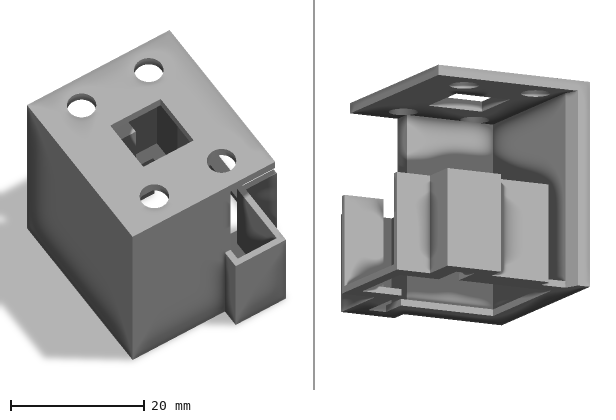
import cadquery as cq

overall_width = 35.0
overall_depth = 31.0
overall_height = 31.5

body_width = 29.05
plate_depth = 25.48
plate_thickness = 1.58
front_edge_thickness = 2.0
front_thickness = 3.0
front_bevel_width = 2.2
side_thickness = 3.0

band_height = 15.0
thin_wall = 1.0
box_front = 16.5
channel_left = -11.75
channel_right = 6.45
channel_right_wall = 0.88
opening_depth = 7.0

floor_thickness = 1.0
lip = 2.0

hole_diameter = 4.4
hole_spacing_x = 20.02
hole_spacing_y = 12.0
hole_front = 6.82
window_width = 9.1
window_depth = 9.0
window_front = 8.4

body_half = body_width / 2
overall_half = overall_width / 2
cavity_half = body_half - side_thickness
box_inner_front = box_front + thin_wall


def block(x_min, x_max, y_min, y_max, z_min, z_max):
    """Box given by its limits along each axis."""
    size = (x_max - x_min, y_max - y_min, z_max - z_min)
    return cq.Workplane("XY").box(*size, centered=False).translate((x_min, y_min, z_min))


def cross_section(inset, front, back, height):
    """Body, side boxes and rear channel, with every side moved inwards by inset."""
    half = cavity_half + thin_wall - inset
    box_half = overall_half - inset
    right_inset = channel_right_wall + inset - thin_wall
    body = block(-half, half, front, plate_depth - inset, 0, height)
    boxes = block(-box_half, box_half, box_front + inset, plate_depth - inset, 0, height)
    channel = block(channel_left + inset, channel_right - right_inset, box_front, back, 0, height)
    return body.union(boxes).union(channel)


def make_band():
    """Low walls around the cavity, open at the rear of the channel."""
    low_walls = block(-body_half, body_half, opening_depth, plate_depth, 0, band_height)
    boxes = block(-overall_half, overall_half, box_front, plate_depth, 0, band_height)
    channel = block(channel_left, channel_right, box_front, overall_depth, 0, band_height)
    cavity = cross_section(thin_wall, 0, overall_depth, band_height)
    return low_walls.union(boxes).union(channel).cut(cavity)


def make_floor():
    """Thin floor under the cavity, leaving a lip around a large opening."""
    sill = block(-body_half + front_bevel_width, 0, 0, opening_depth, 0, floor_thickness)
    floor = cross_section(thin_wall, 0, overall_depth, floor_thickness).union(sill)
    opening = cross_section(
        thin_wall + lip, front_edge_thickness + lip, overall_depth - lip, floor_thickness
    )
    return floor.cut(opening)


def make_front_wall():
    """Full-height wall with a bevel along its inner -X edge."""
    outline = [
        (-body_half, 0),
        (body_half, 0),
        (body_half, front_thickness),
        (-body_half + front_bevel_width, front_thickness),
        (-body_half, front_edge_thickness),
    ]
    return cq.Workplane("XY").polyline(outline).close().extrude(overall_height)


def make_top_plate():
    """Top plate with a central window."""
    plate_bottom = overall_height - plate_thickness
    plate = block(-body_half, body_half, 0, plate_depth, plate_bottom, overall_height)
    window = block(
        -window_width / 2, window_width / 2,
        window_front, window_front + window_depth,
        plate_bottom, overall_height,
    )
    return plate.cut(window)


def make_plate_holes():
    """Four round holes reaching only through the plate thickness."""
    center_y = hole_front + hole_spacing_y / 2
    return (
        cq.Workplane("XY", origin=(0, center_y, overall_height - plate_thickness))
        .rarray(hole_spacing_x, hole_spacing_y, 2, 2)
        .circle(hole_diameter / 2)
        .extrude(plate_thickness)
    )


side_wall = block(cavity_half, body_half, 0, box_inner_front, 0, overall_height)

result = (
    make_front_wall()
    .union(side_wall)
    .union(make_band())
    .union(make_floor())
    .union(make_top_plate())
    .cut(make_plate_holes())
    .clean()
)